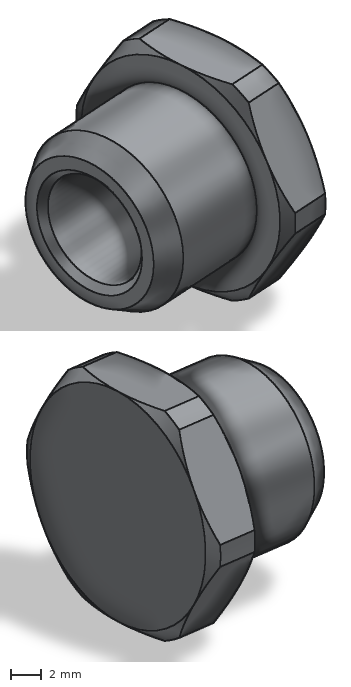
import cadquery as cq
import math

across_flats = 17.0
across_rounded_corners = 18.77
head_thickness = 4.0
head_chamfer_angle = 30.0

total_length = 13.0
barrel_diameter = 13.03
tip_diameter = 11.0
tip_chamfer_angle = 30.0

hole_diameter = 8.0
countersink_diameter = 9.01
hole_depth = 10.0
drill_point_angle = 150.0

head_back = 0.0
head_front = head_back - head_thickness
tip = head_back - total_length


def revolve_about_y(points):
    """Revolve an outline of (radius, y) points about the Y axis."""
    outline = cq.Workplane("XY").polyline(points).close()
    return outline.revolve(360, (0, 0, 0), (0, 1, 0))


def make_head():
    corner_diameter = across_flats / math.cos(math.pi / 6)
    hexagon = cq.Workplane("XZ").polygon(6, corner_diameter).extrude(head_thickness)
    face_radius = across_flats / 2
    outer_radius = across_rounded_corners / 2
    chamfer_length = (outer_radius - face_radius) * math.tan(math.radians(head_chamfer_angle))
    envelope = revolve_about_y([
        (0, head_back),
        (face_radius, head_back),
        (outer_radius, head_back - chamfer_length),
        (outer_radius, head_front + chamfer_length),
        (face_radius, head_front),
        (0, head_front),
    ])
    return hexagon.intersect(envelope)


def make_barrel():
    barrel_radius = barrel_diameter / 2
    tip_radius = tip_diameter / 2
    chamfer_length = (barrel_radius - tip_radius) / math.tan(math.radians(tip_chamfer_angle))
    return revolve_about_y([
        (0, head_front),
        (barrel_radius, head_front),
        (barrel_radius, tip + chamfer_length),
        (tip_radius, tip),
        (0, tip),
    ])


def make_hole():
    hole_radius = hole_diameter / 2
    countersink_radius = countersink_diameter / 2
    countersink_depth = countersink_radius - hole_radius
    point_length = hole_radius / math.tan(math.radians(drill_point_angle / 2))
    hole_end = tip + hole_depth
    return revolve_about_y([
        (0, tip),
        (countersink_radius, tip),
        (hole_radius, tip + countersink_depth),
        (hole_radius, hole_end - point_length),
        (0, hole_end),
    ])


result = make_head().union(make_barrel()).cut(make_hole())